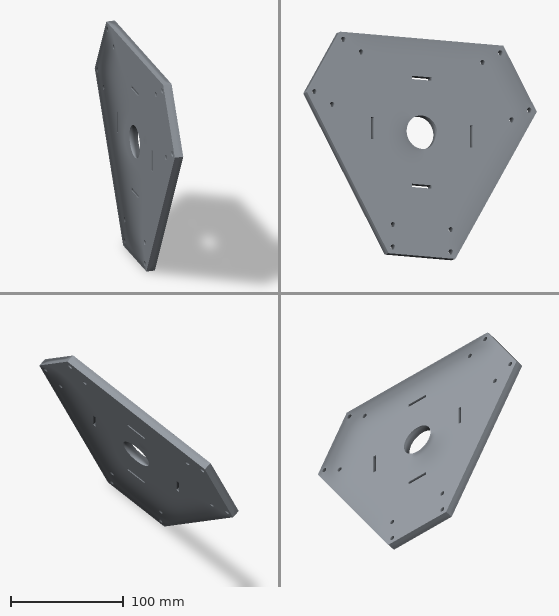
import cadquery as cq
import math

overall_width = 225.9
thickness = 8.0
short_edge = 65.7
long_edge = overall_width - short_edge

short_edge_distance = (short_edge + 2 * long_edge) / (2 * math.sqrt(3))

bore_diameter = 30.0
slot_length = 19.9
slot_width = 3.0
slot_radius = 48.5
hole_diameter = 4.5
hole_spacing = 57.0
outer_hole_edge_gap = 5.9
hole_row_pitch = 20.0

arm_angles = (-90, 30, 150)


def arm_point(along, across, angle):
    """Place a point given along and across an arm at the given angle."""
    c = math.cos(math.radians(angle))
    s = math.sin(math.radians(angle))
    return (along * c - across * s, along * s + across * c)


def make_plate():
    corners = [
        arm_point(short_edge_distance, side * short_edge / 2, angle)
        for angle in arm_angles
        for side in (-1, 1)
    ]
    return cq.Workplane("XZ").polyline(corners).close().extrude(thickness)


def cut_bore(plate):
    return plate.cut(cq.Workplane("XZ").circle(bore_diameter / 2).extrude(thickness))


def cut_slots(plate):
    slots = (
        cq.Workplane("XZ")
        .polarArray(slot_radius, 0, 360, 4)
        .rect(slot_width, slot_length)
        .extrude(thickness)
    )
    return plate.cut(slots)


def cut_mounting_holes(plate):
    outer_row = short_edge_distance - outer_hole_edge_gap
    inner_row = outer_row - hole_row_pitch
    centres = [
        arm_point(row, side * hole_spacing / 2, angle)
        for angle in arm_angles
        for row in (inner_row, outer_row)
        for side in (-1, 1)
    ]
    holes = cq.Workplane("XZ").pushPoints(centres).circle(hole_diameter / 2).extrude(thickness)
    return plate.cut(holes)


result = cut_mounting_holes(cut_slots(cut_bore(make_plate())))